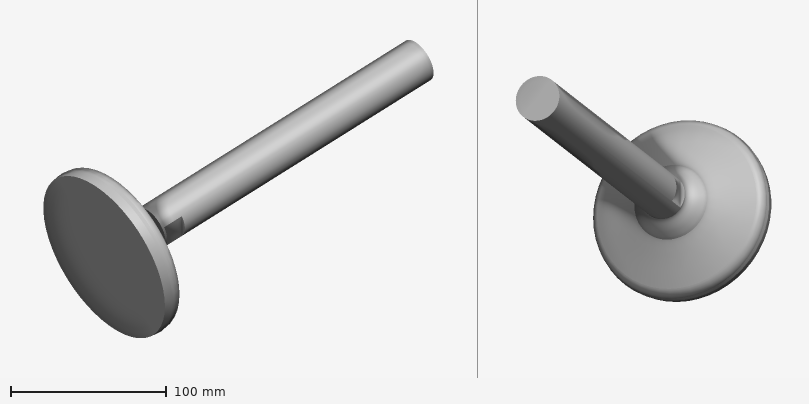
import cadquery as cq
import math

total_length = 269.0
pad_radius = 60.0
face_radius = 59.2
rim_height = 6.0
band_height = 9.0
band_radius = 59.5
shoulder_height = 15.5
shoulder_radius = 55.0
cone_top_height = 26.4
cone_top_radius = 25.0
collar_height = 27.7
collar_radius = 24.0

ball_radius = 29.3
ball_center = collar_height - math.sqrt(ball_radius**2 - collar_radius**2)
neck_radius = 6.5

stud_radius = pad_radius / 4
stud_start = 39.3
flat_start = 41.0
flat_length = 15.0
flat_distance = 24.0


def make_pad():
    """Revolve the pad and the exposed ball around the Y axis."""
    ball_mid_angle = math.radians(65)
    ball_mid = (
        ball_radius * math.cos(ball_mid_angle),
        ball_center + ball_radius * math.sin(ball_mid_angle),
    )
    profile = (
        cq.Workplane("XY")
        .moveTo(0, ball_center + ball_radius)
        .threePointArc(ball_mid, (collar_radius, collar_height))
        .lineTo(cone_top_radius, cone_top_height)
        .lineTo(shoulder_radius, shoulder_height)
        .tangentArcPoint((band_radius, band_height), relative=False)
        .lineTo(pad_radius, rim_height)
        .lineTo(face_radius, 0)
        .lineTo(0, 0)
        .close()
    )
    return profile.revolve(360, (0, 0, 0), (0, 1, 0))


def cylinder_along_y(radius, start, end):
    return cq.Workplane("XZ", origin=(0, start, 0)).circle(radius).extrude(start - end)


def make_stud():
    """Plain round stud with a wrench flat on each X side."""
    stud = cylinder_along_y(stud_radius, stud_start, total_length)
    for side in (-1, 1):
        flat_cut = cq.Workplane("XY").box(stud_radius, flat_length, 2 * stud_radius)
        stud = stud.cut(
            flat_cut.translate((
                side * (flat_distance + stud_radius) / 2,
                flat_start + flat_length / 2,
                0,
            ))
        )
    return stud


neck = cylinder_along_y(neck_radius, ball_center, stud_start)
result = make_pad().union(neck).union(make_stud())